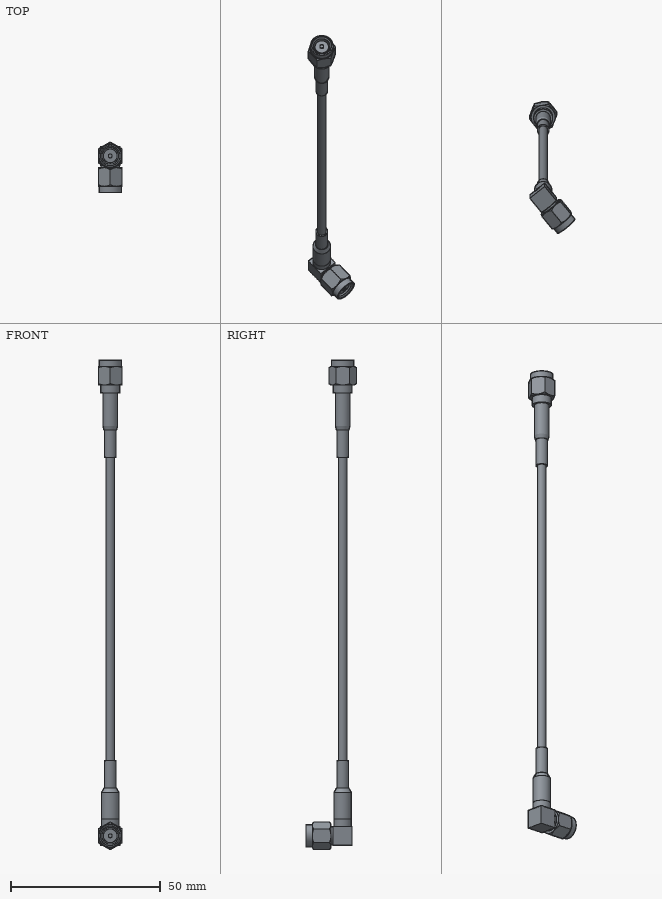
import cadquery as cq
import math

total_height = 163.7

nut_across_flats = 8.0
nut_hex_length = 6.2
nut_chamfer_length = 0.5
nut_tip_radius = 3.8
nut_tip_length = 2.1
nut_bore_radius = 2.8
nut_mouth_radius = 3.3
nut_bore_depth = 3.3
insulator_radius = 2.3
insulator_setback = 1.0
pin_radius = 0.7
pin_setback = 0.5

collar_diameter = 6.4
collar_length = 2.6
rear_tube_radius = 2.5
rear_tube_length = 12.5
rear_tube_taper_length = 1.3
tube_end_radius = 2.1

mating_reach = 12.3
block_width = 6.4
neck_radius = 3.0
neck_length = 2.5
nut_shank_radius = 3.1

ferrule_length = 10.3
ferrule_taper_length = 1.5

cable_radius = 1.5
sleeve_radius = 2.0
sleeve_length = 9.2

nut_corner_diameter = nut_across_flats / math.cos(math.pi / 6)
nut_corner_radius = nut_corner_diameter / 2
nut_length = nut_hex_length + nut_tip_length
mating_axis_z = nut_corner_radius
block_half_width = block_width / 2
block_top_z = mating_axis_z + block_half_width
ferrule_bottom_z = block_top_z + neck_length
ferrule_top_z = ferrule_bottom_z + ferrule_length
collar_bottom_z = total_height - nut_length - collar_length
rear_tube_bottom_z = collar_bottom_z - rear_tube_length


def cylinder(radius, bottom_z, top_z):
    """Upright cylinder on the Z axis."""
    return cq.Workplane("XY").workplane(offset=bottom_z).circle(radius).extrude(top_z - bottom_z)


def turned(profile):
    """Solid of revolution about Z from (radius, z) points."""
    return cq.Workplane("XZ").polyline(profile).close().revolve(360, (0, 0, 0), (0, 1, 0))


def mating_end():
    """Coupling nut with a countersunk bore, insulator and pin, back face at z = 0 and open end up.

    Two hexagon corners lie on the Y axis.
    """
    flat_radius = nut_across_flats / 2
    hexagon = (
        cq.Workplane("XY")
        .polygon(6, nut_corner_diameter)
        .extrude(nut_hex_length)
        .rotate((0, 0, 0), (0, 0, 1), 30)
    )
    corner_trim = turned([
        (0, 0),
        (flat_radius, 0),
        (nut_corner_radius, nut_chamfer_length),
        (nut_corner_radius, nut_hex_length - nut_chamfer_length),
        (flat_radius, nut_hex_length),
        (0, nut_hex_length),
    ])
    tip = cylinder(nut_tip_radius, nut_hex_length, nut_length)
    bore_floor_z = nut_length - nut_bore_depth
    mouth_bottom_z = nut_length - (nut_mouth_radius - nut_bore_radius)
    bore = turned([
        (0, bore_floor_z),
        (nut_bore_radius, bore_floor_z),
        (nut_bore_radius, mouth_bottom_z),
        (nut_mouth_radius, nut_length),
        (0, nut_length),
    ])
    insulator = cylinder(insulator_radius, bore_floor_z, nut_length - insulator_setback)
    pin = cylinder(pin_radius, bore_floor_z, nut_length - pin_setback)
    return hexagon.intersect(corner_trim).union(tip).cut(bore).union(insulator).union(pin)


def straight_connector():
    """Nut at the top, then a collar and a rear tube tapered at its lower end."""
    nut = mating_end().translate((0, 0, total_height - nut_length))
    collar = cylinder(collar_diameter / 2, collar_bottom_z, total_height - nut_length)
    rear_tube = turned([
        (0, rear_tube_bottom_z),
        (tube_end_radius, rear_tube_bottom_z),
        (rear_tube_radius, rear_tube_bottom_z + rear_tube_taper_length),
        (rear_tube_radius, collar_bottom_z),
        (0, collar_bottom_z),
    ])
    return nut.union(collar).union(rear_tube)


def angle_connector():
    """Square block with a neck upward and a nut facing -Y."""
    block = cq.Workplane("XY").box(block_width, block_width, block_width).translate((0, 0, mating_axis_z))
    neck = cylinder(neck_radius, block_top_z, ferrule_bottom_z)
    nut_back = mating_reach - nut_length
    shank = cylinder(nut_shank_radius, block_half_width, nut_back)
    nut = mating_end().translate((0, 0, nut_back))
    side_arm = shank.union(nut).rotate((0, 0, 0), (1, 0, 0), 90).translate((0, 0, mating_axis_z))
    return block.union(neck).union(side_arm)


def crimp_ferrule():
    """Round ferrule standing flush on the neck, tapered at its upper end."""
    return turned([
        (0, ferrule_bottom_z),
        (neck_radius, ferrule_bottom_z),
        (neck_radius, ferrule_top_z - ferrule_taper_length),
        (tube_end_radius, ferrule_top_z),
        (0, ferrule_top_z),
    ])


def sleeved_cable():
    """Cable between the two connectors with a thicker sleeve at each end."""
    cable = cylinder(cable_radius, ferrule_top_z, rear_tube_bottom_z)
    for sleeve_bottom_z in (ferrule_top_z, rear_tube_bottom_z - sleeve_length):
        cable = cable.union(cylinder(sleeve_radius, sleeve_bottom_z, sleeve_bottom_z + sleeve_length))
    return cable


result = cq.Compound.makeCompound([
    straight_connector().val(),
    angle_connector().val(),
    crimp_ferrule().val(),
    sleeved_cable().val(),
])